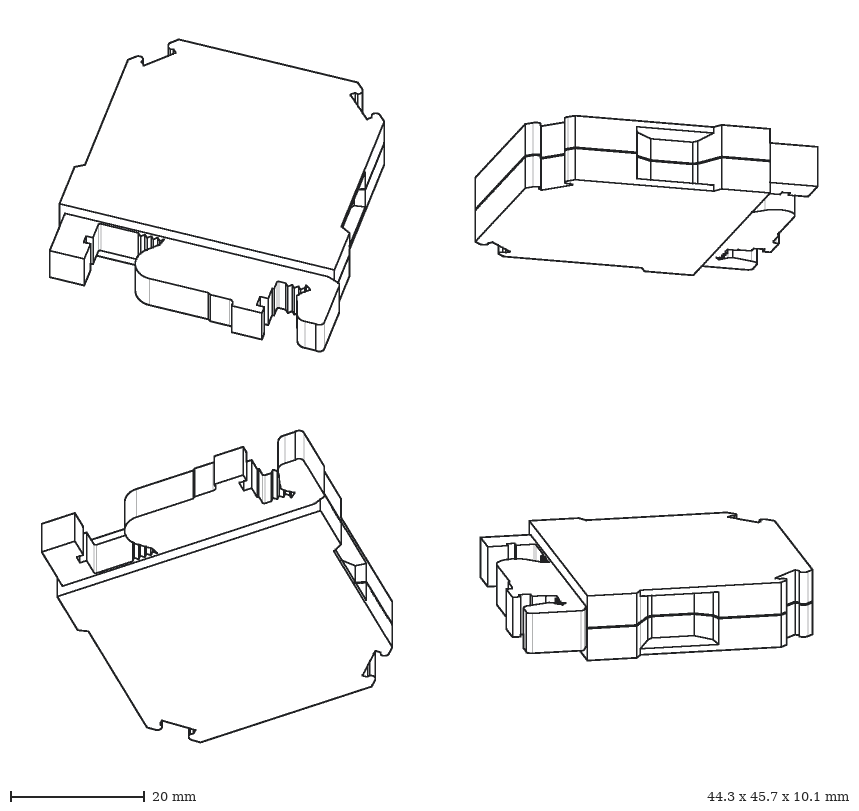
import cadquery as cq
import math


overall_width = 44.3
overall_depth = 45.7
thickness = 10.05
height = 35.95
base_left = -21.5
base_right = 21.65
upper_half_width = 20.1
step_bottom = 7.55
step_top = 8.4

slot_centre_x = 15.6
slot_centre_y = height - (upper_half_width - slot_centre_x)
slot_half_length = 1.9
lip_end = 1.55
lip_top = height - slot_centre_y
lip_chamfer = 0.9
lip_round_mid = (0.35, 2.92)
lip_tip = (0.85, 2.35)
lip_undercut = (1.33, 2.45)

entry_depth = 3.15
entry_mouth_half_height = 4.05
entry_floor_half_height = 3.4
entry_floor_x = upper_half_width - entry_depth
entry_top = 20.4
entry_bend_depth = 1.6
entry_bend_y = 19.85
entry_floor_top = 17.27
entry_floor_bottom = 10.8
entry_ramp_end = 10.1
ramp_slope = (step_top - step_bottom) / (-base_left - upper_half_width)
entry_ramp_end_x = upper_half_width - (entry_ramp_end - step_top) / ramp_slope

groove_width = 0.15
groove_depth = 0.2

foot_thickness = 6.2
housing_overlap = 0.9
tooth_pitch = 1.0
tooth_height = 0.55

leg_left = -20.6
leg_right = -15.15
leg_bottom = -7.65
leg_notch_x = -16.25
leg_notch_top = -3.3
leg_notch_bottom = -4.52
web_bottom = -0.35
corner_radius = 0.27
web_teeth_start = -8.95
web_tooth_count = 4

lobe_x = -4.75
lobe_y = -5.35
lobe_radius = 3.0
lobe_bottom = lobe_y - lobe_radius
neck_bend = (-5.1, -1.2)
neck_bottom_y = -1.6

pad_start = 4.52
pad_slope_end = 4.9
pad_bottom = -8.65
pad_end = 7.85
toe_left = 8.6
toe_round_bottom = -9.2
foot_bottom = height - overall_depth
toe_right = 13.35
toe_top = -8.5
toe_notch_x = 12.1
toe_notch_top = -6.75
gap_left_low = 13.4
gap_left_high = 13.65
gap_step_y = -4.7
gap_top = -3.1
gap_teeth_start = 15.0
gap_tooth_count = 3

hook_slit_top = (18.0, -2.55)
hook_slit_end = (18.9, -3.25)
hook_nose_top = (17.75, -4.3)
hook_nose = (17.3, -4.95)
hook_inner_end = (18.35, -8.15)
hook_inner_mid = (18.9, -9.05)
hook_bottom_left = 19.95
hook_bottom = -9.35
hook_bottom_right = 21.65
hook_right = base_left + overall_width
hook_round_bottom = -8.65
hook_round_mid = (22.58, -9.2)
hook_round_top = -1.3
hook_shoulder_mid = (22.65, -0.85)
hook_shoulder_end = (22.2, -0.6)
hook_shoulder_start = 20.65


def corner_point(along, outward, upper, side):
    """Point placed from a slot centre; the lower lip mirrors the upper one across the 45 degree line."""
    if upper:
        return (side * (slot_centre_x - along), slot_centre_y + outward)
    return (side * (slot_centre_x + outward), slot_centre_y - along)


def trace_corner(profile, side, upper_first):
    """Trace the two lips and the slot floor of one corner."""
    def lip(upper):
        return [
            corner_point(lip_end, lip_top, upper, side),
            corner_point(lip_end - lip_chamfer, lip_top - lip_chamfer, upper, side),
            corner_point(*lip_round_mid, upper, side),
            corner_point(*lip_tip, upper, side),
            corner_point(*lip_undercut, upper, side),
            corner_point(slot_half_length, slot_half_length, upper, side),
        ]

    first = lip(upper_first)
    last = lip(not upper_first)[::-1]
    return (
        profile.lineTo(*first[0])
        .lineTo(*first[1])
        .threePointArc(first[2], first[3])
        .lineTo(*first[4])
        .lineTo(*first[5])
        .lineTo(*last[0])
        .lineTo(*last[1])
        .lineTo(*last[2])
        .threePointArc(last[3], last[4])
        .lineTo(*last[5])
    )


def make_housing():
    profile = (
        cq.Workplane("XY")
        .moveTo(base_left, 0)
        .lineTo(base_right, 0)
        .lineTo(base_right, step_bottom)
        .lineTo(upper_half_width, step_top)
    )
    profile = trace_corner(profile, side=1, upper_first=False)
    profile = trace_corner(profile, side=-1, upper_first=True)
    profile = profile.lineTo(-upper_half_width, step_top).lineTo(base_left, step_bottom).close()
    return profile.extrude(thickness / 2, both=True)


def make_entry():
    """Wire entry cutter on the +X side; its walls close in towards the floor."""
    plan = (
        cq.Workplane("XY")
        .polyline([
            (upper_half_width, step_top),
            (upper_half_width, entry_top),
            (upper_half_width - entry_bend_depth, entry_bend_y),
            (entry_floor_x, entry_floor_top),
            (entry_floor_x, entry_floor_bottom),
            (entry_ramp_end_x, entry_ramp_end),
        ])
        .close()
        .extrude(thickness / 2, both=True)
    )
    taper = (
        cq.Workplane("XZ")
        .polyline([
            (upper_half_width, -entry_mouth_half_height),
            (upper_half_width, entry_mouth_half_height),
            (entry_floor_x, entry_floor_half_height),
            (entry_floor_x, -entry_floor_half_height),
        ])
        .close()
        .extrude(-height)
    )
    return plan.intersect(taper)


def cut_groove(housing):
    """Cut a narrow groove into the whole mid-plane outline, leaving the inner core joined."""
    slab = cq.Workplane("XY").box(2 * base_right, 2 * height, groove_width)
    core = (
        housing.section()
        .wires()
        .toPending()
        .offset2D(-groove_depth, "intersection")
        .extrude(groove_width / 2, both=True, combine=False)
    )
    return housing.cut(slab.cut(core))


def add_teeth(profile, start, root_y, count):
    """Row of downward triangular teeth running towards +X."""
    for i in range(count):
        root_x = start + i * tooth_pitch
        profile = profile.lineTo(root_x, root_y)
        profile = profile.lineTo(root_x + tooth_pitch / 2, root_y - tooth_height)
    return profile.lineTo(start + count * tooth_pitch, root_y)


def make_foot():
    diagonal = lobe_radius * math.sqrt(0.5)
    rounding = corner_radius * (1 - math.sqrt(0.5))

    profile = (
        cq.Workplane("XY")
        .moveTo(leg_left, housing_overlap)
        .lineTo(leg_left, leg_bottom)
        .lineTo(leg_right, leg_bottom)
        .lineTo(leg_right, leg_notch_bottom)
        .lineTo(leg_notch_x, leg_notch_bottom)
        .lineTo(leg_notch_x, leg_notch_top)
        .lineTo(leg_right, leg_notch_top)
        .lineTo(leg_right, web_bottom - corner_radius)
        .threePointArc((leg_right + rounding, web_bottom - rounding), (leg_right + corner_radius, web_bottom))
    )
    profile = add_teeth(profile, web_teeth_start, web_bottom, web_tooth_count)

    neck_bottom_x = lobe_x - diagonal + (neck_bottom_y - (lobe_y + diagonal))
    profile = (
        profile.threePointArc(neck_bend, (neck_bottom_x, neck_bottom_y))
        .lineTo(lobe_x - diagonal, lobe_y + diagonal)
        .threePointArc((lobe_x - lobe_radius, lobe_y), (lobe_x, lobe_bottom))
        .lineTo(pad_start, lobe_bottom)
        .lineTo(pad_slope_end, pad_bottom)
        .lineTo(pad_end, pad_bottom)
        .radiusArc((toe_left, toe_round_bottom), toe_left - pad_end)
        .lineTo(toe_left, foot_bottom)
        .lineTo(toe_right, foot_bottom)
        .lineTo(toe_right, toe_top)
        .lineTo(toe_notch_x, toe_top)
        .lineTo(toe_notch_x, toe_notch_top)
        .lineTo(gap_left_low, toe_notch_top)
        .lineTo(gap_left_low, gap_step_y)
        .lineTo(gap_left_high, gap_step_y)
        .lineTo(gap_left_high, gap_top - corner_radius)
        .threePointArc((gap_left_high + rounding, gap_top - rounding), (gap_left_high + corner_radius, gap_top))
    )
    profile = add_teeth(profile, gap_teeth_start, gap_top, gap_tooth_count)

    profile = (
        profile.lineTo(*hook_slit_top)
        .lineTo(*hook_slit_end)
        .lineTo(*hook_nose_top)
        .lineTo(*hook_nose)
        .lineTo(*hook_inner_end)
        .threePointArc(hook_inner_mid, (hook_bottom_left, hook_bottom))
        .lineTo(hook_bottom_right, hook_bottom)
        .threePointArc(hook_round_mid, (hook_right, hook_round_bottom))
        .lineTo(hook_right, hook_round_top)
        .threePointArc(hook_shoulder_mid, hook_shoulder_end)
        .lineTo(hook_shoulder_start, 0)
        .lineTo(hook_shoulder_start, housing_overlap)
        .close()
    )
    return profile.extrude(foot_thickness / 2, both=True)


entry = make_entry()
housing = make_housing().cut(entry).cut(entry.mirror("YZ"))
result = cut_groove(housing).union(make_foot())